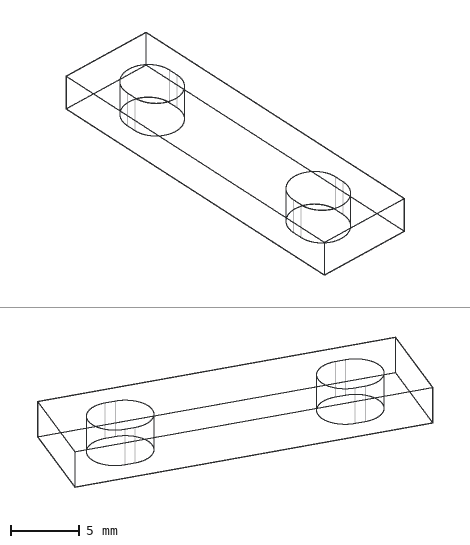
import cadquery as cq

length = 28.0
width = 8.0
thickness = 3.0

slot_length = 5.0
slot_width = 4.2
slot_spacing = 18.0

plate = cq.Workplane("XY").box(length, width, thickness)

result = (
    plate.faces(">Z")
    .workplane()
    .rarray(slot_spacing, 0.28, 2, 1)
    .slot2D(slot_length, slot_width)
    .cutThruAll()
)